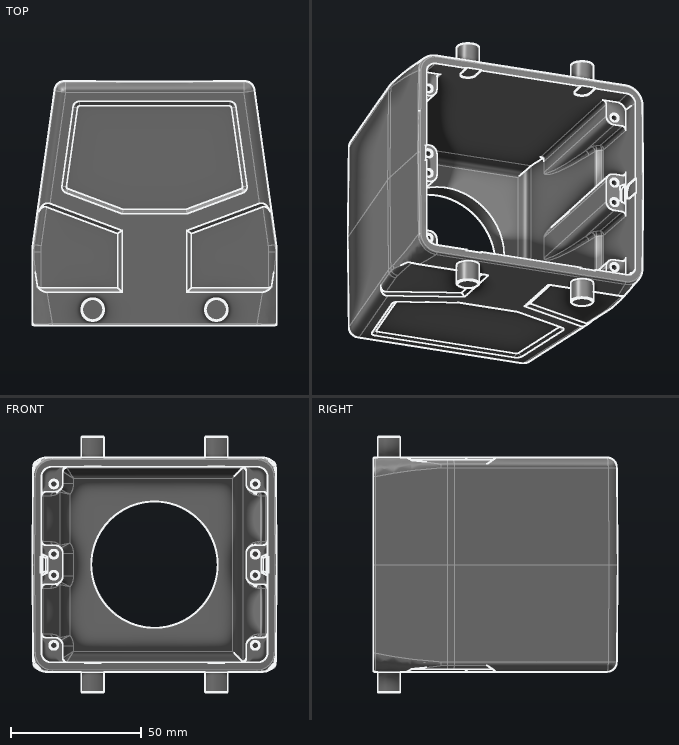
import cadquery as cq
import math


EDGE_SEARCH_MARGIN = 0.3

WIDTH = 94.0
LENGTH = 94.0
BODY_HEIGHT = 82.5
PIN_SPAN = 98.5
HALF_WIDTH = WIDTH / 2
HALF_HEIGHT = BODY_HEIGHT / 2

SIDE_TAPER = math.tan(math.radians(8))
SIDE_BEND_Y = 29.8
SIDE_BEND_RADIUS = 20.0
PARTING_DRAFT = 0.5
EDGE_RADIUS = 4.0
MOUTH_CORNER_RADIUS = 7.6
CORNER_GROWTH_LENGTH = 26.0
CORNER_GROWTH_POWER = 1.5
RIM_ROUND = 0.8
MOUTH_OVERRUN = 5.0

REAR_WALL = 9.0
CAVITY_FLOOR_Y = LENGTH - REAR_WALL
CAVITY_HALF_WIDTH = 43.5
CAVITY_HALF_HEIGHT = 37.6
CAVITY_FLOOR_HALF_HEIGHT = 37.2
CAVITY_CORNER_RADIUS = 4.0
CAVITY_FLOOR_RADIUS = 4.0
INNER_DRAFT = 0.5
LEFT_BEND_Y = 34.8
STEP_START_Y = 31.5
STEP_LENGTH = 1.8
STEP_DEPTH = 2.4
STEP_ROUND = 1.0
CABLE_HOLE_DIAMETER = 48.5

BOSS_FRONT_Y = 9.5
BOSS_FACE_X = 35.2
CORNER_BOSS_Z = 28.0
MIDDLE_BOSS_HALF = 7.5
BOSS_RADIUS = 3.2
BOSS_FOOT_RADIUS = 1.5
SCREW_X = 38.7
SCREW_ROWS = (4.05, 31.0)
SCREW_DIAMETER = 2.7
SCREW_MOUTH_DIAMETER = 3.5
SCREW_LEAD_IN = (SCREW_MOUTH_DIAMETER - SCREW_DIAMETER) / 2
SCREW_LEAD_IN_ANGLE = 45.0
SCREW_DEPTH = 12.0
NOTCH_X = 41.0
NOTCH_INNER_HALF = 3.0
NOTCH_OUTER_HALF = 6.0
NOTCH_DEPTH = 3.0
NOTCH_TAPER = 15.0

PIN_DIAMETER = 8.8
PIN_X = 23.75
PIN_Y = 6.1
PIN_CHAMFER = 0.4
SLOT_WIDTH = 6.1
SLOT_DEPTH = 0.3

PANEL_DEPTH = 1.0
PANEL_WALL_ANGLE = 60.0
PANEL_RADIUS = 2.5
PANEL_EDGE_RADIUS = 3.0
PANEL_EDGE_GROWTH = 0.1
PANEL_SLOPE = math.tan(math.radians(20.5))
PANEL_INNER_X = 12.45
MAIN_PANEL_TOP_Y = 86.1
MAIN_PANEL_BOTTOM_Y = 42.9
MAIN_PANEL_MARGIN = 8.1
SIDE_PANEL_BOTTOM_Y = 12.8
SIDE_PANEL_TOP_Y = 36.5
SIDE_PANEL_REACH = 60.0


def centred_box(x_half, y_start, y_end, z_half):
    return (
        cq.Workplane("XY")
        .box(2 * x_half, y_end - y_start, 2 * z_half)
        .translate((0, (y_start + y_end) / 2, 0))
    )


def side_x(y):
    """Half width of the leaning part of the hood at a given Y."""
    return HALF_WIDTH - (y - SIDE_BEND_Y) * SIDE_TAPER


def upright_edges_at(y):
    """Selector of the upright edges near the given Y, above the Z = 0 plane."""
    return cq.selectors.BoxSelector(
        (-WIDTH, y - 2 * EDGE_SEARCH_MARGIN, EDGE_SEARCH_MARGIN),
        (WIDTH, y + 2 * EDGE_SEARCH_MARGIN, HALF_HEIGHT - PANEL_DEPTH - EDGE_SEARCH_MARGIN))


def rounded_blank(half_height, growth, radius):
    """Outer body: tapered outline drafted both ways from the parting plane, with rounded edges."""
    half_width = HALF_WIDTH + growth
    rear_half_width = side_x(LENGTH) + growth
    half = (
        cq.Workplane("XY")
        .polyline([
            (-half_width, -MOUTH_OVERRUN),
            (half_width, -MOUTH_OVERRUN),
            (half_width, SIDE_BEND_Y),
            (rear_half_width, LENGTH),
            (-rear_half_width, LENGTH),
            (-half_width, SIDE_BEND_Y),
        ])
        .close()
        .extrude(half_height, taper=PARTING_DRAFT)
    )
    half = half.edges(upright_edges_at(SIDE_BEND_Y)).fillet(SIDE_BEND_RADIUS)
    half = half.edges(upright_edges_at(LENGTH)).fillet(radius)
    half = half.faces(">Z").edges("not <Y").fillet(radius)
    return half.union(half.mirror("XY"))


def mouth_section(y, radius):
    """Cross-section wire of the outer body near the mouth."""
    corner_half_width = HALF_WIDTH - HALF_HEIGHT * math.tan(math.radians(PARTING_DRAFT))
    points = [
        (HALF_WIDTH, 0),
        (corner_half_width, HALF_HEIGHT),
        (-corner_half_width, HALF_HEIGHT),
        (-HALF_WIDTH, 0),
        (-corner_half_width, -HALF_HEIGHT),
        (corner_half_width, -HALF_HEIGHT),
    ]
    wire = cq.Wire.makePolygon([cq.Vector(x, y, z) for x, z in points], close=True)
    corners = [v for v in wire.Vertices() if abs(v.Z) > HALF_HEIGHT / 2]
    return wire.fillet2D(radius, corners)


def outer_body():
    blank = rounded_blank(HALF_HEIGHT, 0, EDGE_RADIUS)
    rear = blank.intersect(centred_box(WIDTH, CORNER_GROWTH_LENGTH, 2 * LENGTH, WIDTH))
    growth = MOUTH_CORNER_RADIUS - EDGE_RADIUS
    overrun_share = 1 + MOUTH_OVERRUN / CORNER_GROWTH_LENGTH
    sections = []
    for share in (0, overrun_share / 2, overrun_share):
        y = CORNER_GROWTH_LENGTH * (1 - share)
        sections.append(mouth_section(y, EDGE_RADIUS + growth * share ** CORNER_GROWTH_POWER))
    front = cq.Workplane(cq.Solid.makeLoft(sections))
    front = front.intersect(centred_box(WIDTH, 0, LENGTH, WIDTH))
    front = front.faces("<Y").edges().fillet(RIM_ROUND)
    return rear.union(front)


def raw_cavity():
    """Hollow interior without bosses or rounded floor edges."""
    wall_x = CAVITY_HALF_WIDTH - INNER_DRAFT
    step_y = STEP_START_Y + STEP_LENGTH
    step_x = wall_x - STEP_DEPTH
    outline = (
        cq.Workplane("XY")
        .polyline([
            (CAVITY_HALF_WIDTH, -MOUTH_OVERRUN),
            (wall_x, STEP_START_Y),
            (step_x, step_y),
            (step_x - (CAVITY_FLOOR_Y - step_y) * SIDE_TAPER, CAVITY_FLOOR_Y),
            (-wall_x + (CAVITY_FLOOR_Y - LEFT_BEND_Y) * SIDE_TAPER, CAVITY_FLOOR_Y),
            (-wall_x, LEFT_BEND_Y),
            (-CAVITY_HALF_WIDTH, -MOUTH_OVERRUN),
        ])
        .close()
        .extrude(HALF_HEIGHT, both=True)
    )
    step_edges = cq.selectors.BoxSelector(
        (0, STEP_START_Y - EDGE_SEARCH_MARGIN, -WIDTH),
        (WIDTH, step_y + EDGE_SEARCH_MARGIN, WIDTH))
    outline = outline.edges("|Z").edges(step_edges).fillet(STEP_ROUND)
    height_limit = (
        cq.Workplane("YZ")
        .polyline([
            (-MOUTH_OVERRUN, -CAVITY_HALF_HEIGHT),
            (CAVITY_FLOOR_Y, -CAVITY_FLOOR_HALF_HEIGHT),
            (CAVITY_FLOOR_Y, CAVITY_FLOOR_HALF_HEIGHT),
            (-MOUTH_OVERRUN, CAVITY_HALF_HEIGHT),
        ])
        .close()
        .extrude(WIDTH, both=True)
    )
    return outline.intersect(height_limit)


def mouth_pocket():
    """Round-cornered part of the cavity, from the mouth to the front of the bosses."""
    rounded = (
        cq.Workplane("XZ")
        .rect(2 * CAVITY_HALF_WIDTH, 2 * CAVITY_HALF_HEIGHT)
        .extrude(-BOSS_FRONT_Y)
        .edges("|Y").fillet(CAVITY_CORNER_RADIUS)
    )
    return rounded.intersect(raw_cavity())


def boss(z_low, z_high, rounded_edges):
    """Straight boss on the +X side, running the full depth of the cavity."""
    return (
        cq.Workplane("XZ")
        .rect(WIDTH, z_high - z_low)
        .extrude(-LENGTH)
        .edges("|Y and <X").edges(rounded_edges).fillet(BOSS_RADIUS)
        .translate((BOSS_FACE_X + WIDTH / 2, 0, (z_low + z_high) / 2))
    )


def boss_foot_edges(hollow):
    """Inner corners where the bosses meet the side walls and the broad walls."""
    rounding_x = BOSS_FACE_X + BOSS_RADIUS
    start_y = BOSS_FRONT_Y + EDGE_SEARCH_MARGIN
    middle_y = (BOSS_FRONT_Y + CAVITY_FLOOR_Y) / 2 + EDGE_SEARCH_MARGIN
    found = []
    for side in (-1, 1):
        for z in (-CORNER_BOSS_Z, -MIDDLE_BOSS_HALF, MIDDLE_BOSS_HALF, CORNER_BOSS_Z):
            along_side_wall = cq.selectors.BoxSelector(
                (side * (rounding_x + EDGE_SEARCH_MARGIN), start_y, z - EDGE_SEARCH_MARGIN),
                (side * HALF_WIDTH, CAVITY_FLOOR_Y, z + EDGE_SEARCH_MARGIN))
            found += hollow.edges(along_side_wall).vals()
        for z in (-CAVITY_HALF_HEIGHT, CAVITY_HALF_HEIGHT):
            along_broad_wall = cq.selectors.BoxSelector(
                (side * BOSS_FACE_X - EDGE_SEARCH_MARGIN, start_y, z - 2 * EDGE_SEARCH_MARGIN),
                (side * BOSS_FACE_X + EDGE_SEARCH_MARGIN, middle_y, z + 2 * EDGE_SEARCH_MARGIN))
            found += hollow.edges(along_broad_wall).vals()
    return found


def boss_chamber():
    """Cavity behind the front of the bosses, with the bosses left standing."""
    hollow = raw_cavity().intersect(centred_box(WIDTH, BOSS_FRONT_Y, LENGTH, WIDTH))
    bosses = boss(CORNER_BOSS_Z, HALF_HEIGHT, "<Z")
    bosses = bosses.union(boss(-HALF_HEIGHT, -CORNER_BOSS_Z, ">Z"))
    bosses = bosses.union(boss(-MIDDLE_BOSS_HALF, MIDDLE_BOSS_HALF, "|Y"))
    hollow = hollow.cut(bosses).cut(bosses.mirror("YZ"))
    hollow = hollow.faces(">Y").edges().fillet(CAVITY_FLOOR_RADIUS)
    return hollow.newObject(boss_foot_edges(hollow)).fillet(BOSS_FOOT_RADIUS)


def cable_hole():
    return (
        cq.Workplane("XZ")
        .circle(CABLE_HOLE_DIAMETER / 2)
        .extrude(-2 * LENGTH)
        .intersect(centred_box(WIDTH, CAVITY_FLOOR_Y - CAVITY_FLOOR_RADIUS, 2 * LENGTH, WIDTH))
    )


def boss_details():
    """Screw holes of all bosses and the notches behind the middle ones."""
    spots = [(sx * SCREW_X, sz * z) for sx in (-1, 1) for sz in (-1, 1) for z in SCREW_ROWS]
    front = cq.Workplane("XZ", origin=(0, BOSS_FRONT_Y, 0))
    holes = front.pushPoints(spots).circle(SCREW_DIAMETER / 2).extrude(-SCREW_DEPTH)
    mouths = (
        front.pushPoints(spots)
        .circle(SCREW_MOUTH_DIAMETER / 2)
        .extrude(-SCREW_LEAD_IN, taper=SCREW_LEAD_IN_ANGLE)
    )
    wall_x = CAVITY_HALF_WIDTH - INNER_DRAFT
    notch = (
        front.polyline([
            (NOTCH_X, -NOTCH_INNER_HALF),
            (NOTCH_X, NOTCH_INNER_HALF),
            (HALF_WIDTH, NOTCH_OUTER_HALF),
            (HALF_WIDTH, -NOTCH_OUTER_HALF),
        ])
        .close()
        .extrude(-NOTCH_DEPTH, taper=NOTCH_TAPER)
        .intersect(centred_box(wall_x, 0, LENGTH, WIDTH))
    )
    return holes.union(mouths).union(notch).union(notch.mirror("YZ"))


def locking_pins():
    wall_middle = (CAVITY_HALF_HEIGHT + HALF_HEIGHT) / 2
    pins = (
        cq.Workplane("XY", origin=(0, 0, wall_middle))
        .pushPoints([(-PIN_X, PIN_Y), (PIN_X, PIN_Y)])
        .circle(PIN_DIAMETER / 2)
        .extrude(PIN_SPAN / 2 - wall_middle)
        .faces(">Z").edges().chamfer(PIN_CHAMFER)
    )
    return pins.union(pins.mirror("XY"))


def mouth_slots():
    """Shallow round-ended slots cut from the mouth into the inside of all four walls."""
    def slot(half_length):
        return (
            cq.Workplane("XY")
            .moveTo(-SLOT_WIDTH / 2, 0)
            .lineTo(SLOT_WIDTH / 2, 0)
            .lineTo(SLOT_WIDTH / 2, PIN_Y)
            .threePointArc((0, PIN_Y + SLOT_WIDTH / 2), (-SLOT_WIDTH / 2, PIN_Y))
            .close()
            .extrude(half_length + SLOT_DEPTH, both=True)
        )
    broad = slot(CAVITY_HALF_HEIGHT)
    side = slot(CAVITY_HALF_WIDTH).rotate((0, 0, 0), (0, 1, 0), 90)
    return broad.translate((-PIN_X, 0, 0)).union(broad.translate((PIN_X, 0, 0))).union(side)


def sunken(outline, depth):
    """Recess below the upper broad face whose walls slope inwards from the given outline."""
    return outline.extrude(-depth, taper=PANEL_WALL_ANGLE)


def main_panel():
    top_x = side_x(MAIN_PANEL_TOP_Y) - MAIN_PANEL_MARGIN
    rise_to_axis = MAIN_PANEL_BOTTOM_Y - PANEL_INNER_X * PANEL_SLOPE
    corner_x = (
        (side_x(0) - MAIN_PANEL_MARGIN - rise_to_axis * SIDE_TAPER)
        / (1 + PANEL_SLOPE * SIDE_TAPER)
    )
    corner_y = rise_to_axis + corner_x * PANEL_SLOPE
    points = [
        (-PANEL_INNER_X, MAIN_PANEL_BOTTOM_Y),
        (PANEL_INNER_X, MAIN_PANEL_BOTTOM_Y),
        (corner_x, corner_y),
        (top_x, MAIN_PANEL_TOP_Y),
        (-top_x, MAIN_PANEL_TOP_Y),
        (-corner_x, corner_y),
    ]
    wire = cq.Wire.makePolygon(
        [cq.Vector(x, y, HALF_HEIGHT) for x, y in points], close=True)
    outer_corners = [v for v in wire.Vertices() if abs(v.X) > PANEL_INNER_X + EDGE_SEARCH_MARGIN]
    wire = wire.fillet2D(PANEL_RADIUS, outer_corners)
    outline = cq.Workplane("XY", origin=(0, 0, HALF_HEIGHT)).newObject([wire]).toPending()
    return sunken(outline, PANEL_DEPTH)


def side_panels():
    """Recesses open to the sides, over a core that rounds off their outer edge."""
    outline = (
        cq.Workplane("XY", origin=(0, 0, HALF_HEIGHT))
        .polyline([
            (PANEL_INNER_X, SIDE_PANEL_BOTTOM_Y),
            (SIDE_PANEL_REACH, SIDE_PANEL_BOTTOM_Y),
            (SIDE_PANEL_REACH, SIDE_PANEL_TOP_Y + (SIDE_PANEL_REACH - PANEL_INNER_X) * PANEL_SLOPE),
            (PANEL_INNER_X, SIDE_PANEL_TOP_Y),
        ])
        .close()
    )
    core = rounded_blank(HALF_HEIGHT - PANEL_DEPTH, PANEL_EDGE_GROWTH, PANEL_EDGE_RADIUS)
    panel = sunken(outline, PANEL_EDGE_RADIUS).cut(core)
    return panel.union(panel.mirror("YZ"))


def hood():
    panels = main_panel().union(side_panels())
    body = outer_body()
    body = body.cut(panels).cut(panels.mirror("XY"))
    body = body.union(locking_pins())
    body = body.cut(mouth_pocket()).cut(boss_chamber()).cut(mouth_slots())
    return body.cut(boss_details()).cut(cable_hole())


result = hood()